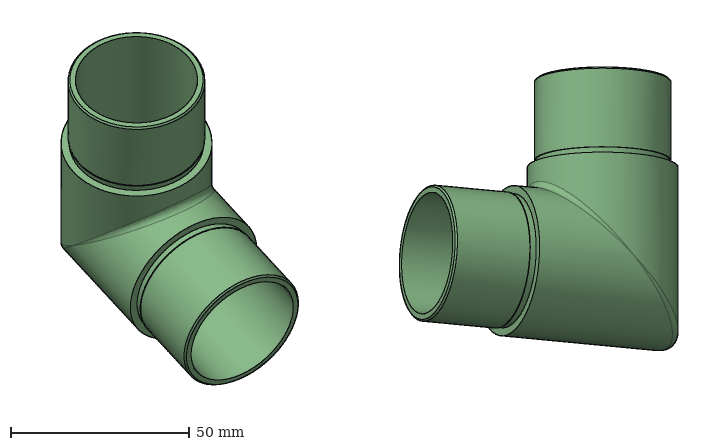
import cadquery as cq
import math

overall = 75.5
body_diameter = 42.4
spigot_diameter = 38.4
neck_diameter = 37.9
bore_diameter = 34.3
spigot_length = 25.0
neck_length = 2.0
end_chamfer = 0.5
seam_radius = 2.0
join_tolerance = 0.001

body_radius = body_diameter / 2
leg_length = overall - body_radius
shoulder = leg_length - spigot_length
spigot_start = shoulder + neck_length


def mitred_elbow(diameter, length):
    """Two equal cylinders along +X and +Z, joined on the 45 degree mitre plane."""
    radius = diameter / 2
    profile = (
        cq.Workplane("XZ")
        .polyline([(-radius, -radius), (length, -radius), (length, radius), (radius, radius)])
        .close()
        .extrude(radius, both=True)
    )
    along_x = cq.Workplane("YZ", origin=(-radius, 0, 0)).circle(radius).extrude(length + radius)
    leg_x = along_x.intersect(profile)
    leg_z = leg_x.rotate((0, 0, 0), (1, 0, 1), 180)
    return leg_x.union(leg_z)


def spigot(plane):
    """Neck and chamfered spigot on the end of one leg."""
    neck = cq.Workplane(plane).workplane(offset=shoulder).circle(neck_diameter / 2).extrude(neck_length)
    sleeve = (
        cq.Workplane(plane)
        .workplane(offset=spigot_start)
        .circle(spigot_diameter / 2)
        .extrude(leg_length - spigot_start)
        .faces(cq.selectors.DirectionMinMaxSelector(cq.Plane.named(plane).zDir, True))
        .chamfer(end_chamfer)
    )
    return neck.union(sleeve)


def seam_wedge(ball_path_radius, direction):
    """Wedge with its apex on the Y axis, open toward the inside (+1) or outside (-1) of the bend.

    Its flat sides pass through the lines where the rolling ball touches each leg.
    """
    far = direction * overall
    near = far * min(body_radius / ball_path_radius, ball_path_radius / body_radius)
    return (
        cq.Workplane("XZ")
        .polyline([(0, 0), (far, near), (near, far)])
        .close()
        .extrude(overall, both=True)
    )


def ball_path_ellipse(ball_path_radius):
    """Ellipse in the mitre plane that the centre of the rolling ball follows."""
    mitre_plane = cq.Plane(origin=(0, 0, 0), xDir=(1, 0, 1), normal=(1, 0, -1))
    return cq.Workplane(mitre_plane).ellipse(ball_path_radius * math.sqrt(2), ball_path_radius)


def ball_track(ball_path_radius):
    """Tube swept out by the rolling ball along the mitre seam."""
    start = cq.Plane(
        origin=(ball_path_radius, 0, ball_path_radius), xDir=(1, 0, 1), normal=(0, 1, 0)
    )
    return cq.Workplane(start).circle(seam_radius).sweep(ball_path_ellipse(ball_path_radius))


def rounded_body():
    """Outer elbow with its mitre seam rounded, fading out where the legs meet at the sides."""
    inner_path_radius = body_radius + seam_radius
    outer_path_radius = body_radius - seam_radius
    inner_wedge = seam_wedge(inner_path_radius, 1)
    outer_wedge = seam_wedge(outer_path_radius, -1)

    inner_core = ball_path_ellipse(inner_path_radius).extrude(body_radius, both=True)
    inner_fill = inner_core.intersect(inner_wedge).cut(ball_track(inner_path_radius))
    outer_core = ball_path_ellipse(outer_path_radius).extrude(body_radius, both=True)
    outer_fill = outer_core.union(ball_track(outer_path_radius)).intersect(outer_wedge)

    legs = mitred_elbow(body_diameter, shoulder).cut(inner_wedge).cut(outer_wedge)
    return legs.union(inner_fill, tol=join_tolerance).union(outer_fill, tol=join_tolerance)


result = (
    rounded_body()
    .union(spigot("YZ"))
    .union(spigot("XY"))
    .cut(mitred_elbow(bore_diameter, leg_length))
)